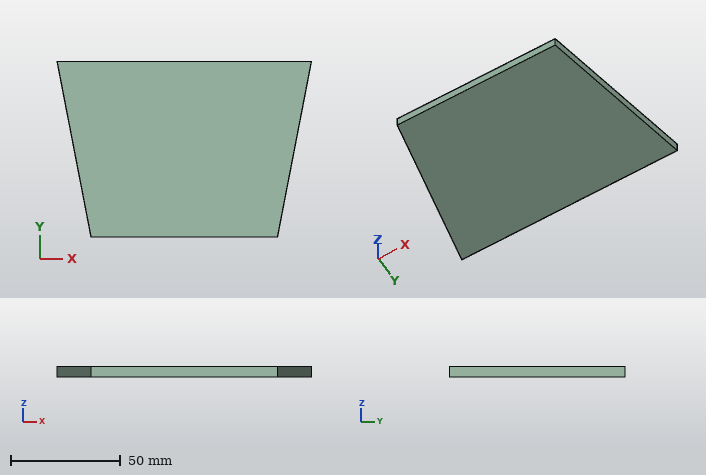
import cadquery as cq

back_width = 115.9
front_width = 85.0
depth = 80.0
thickness = 5.0

outline = [
    (-front_width / 2, -depth / 2),
    (front_width / 2, -depth / 2),
    (back_width / 2, depth / 2),
    (-back_width / 2, depth / 2),
]

result = cq.Workplane("XY").polyline(outline).close().extrude(thickness)